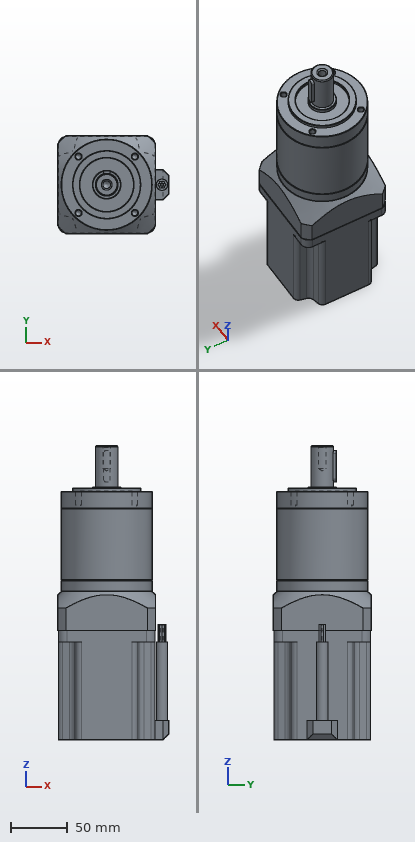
import cadquery as cq
import math

motor_width = 85.0
motor_height = 96.0
flange_thickness = 10.0
flange_corner_radius = 7.5
body_height = motor_height - flange_thickness

flat_half_width = 22.0
rounding_radius = 5.0
rounding_sweep = math.radians(76)
relief_root = 29.2
relief_root_radius = 6.0

outlet_reach = 54.5
outlet_width = 26.5
outlet_height = 17.0
outlet_chamfer = 5.0
cable_x = 48.5
cable_diameter = 10.0
cable_top = body_height
wire_diameter = 2.2
wire_pitch_radius = 2.25
wire_count = 6
wire_top = cable_top + 15.0
overlap = 1.0

adapter_width = 86.0
adapter_corner_radius = 56.0
adapter_cone_bottom = 115.5
barrel_radius = 40.0
barrel_bottom = 130.0
barrel_joints = (140.0, 203.0)
barrel_top = 218.0
joint_chamfer = 0.5

pilot_radius = 30.0
pilot_top = barrel_top + 3.0
pilot_chamfer = 0.5
recess_radius = 23.5
recess_depth = 2.5
collar_radius = 12.5
collar_top = pilot_top + 1.0
collar_chamfer = 0.5

shaft_radius = 10.0
shaft_top = 258.0
shaft_chamfer = 1.0
centre_hole_diameter = 6.8
centre_hole_depth = 20.0
centre_sink_diameter = 9.5
key_width = 6.0
key_length = 28.0
key_bottom = 226.0
key_outer_y = 12.5

mount_hole_diameter = 5.0
mount_hole_depth = 12.0
mount_sink_diameter = 6.2
mount_circle_diameter = 70.0
drill_point_angle = math.radians(118)


def motor_corner_relief():
    """Cutter for the (+X, +Y) corner: two rounded lips around a filleted notch."""
    side = motor_width / 2
    beyond = side + overlap

    def lip_point(angle):
        return (
            flat_half_width + rounding_radius * math.sin(angle),
            side - rounding_radius * (1 - math.cos(angle)),
        )

    def mirrored(point):
        return (point[1], point[0])

    start = lip_point(0)
    middle = lip_point(rounding_sweep / 2)
    end = lip_point(rounding_sweep)
    cutter = (
        cq.Workplane("XY")
        .moveTo(*start)
        .threePointArc(middle, end)
        .lineTo(relief_root, relief_root)
        .lineTo(*mirrored(end))
        .threePointArc(mirrored(middle), mirrored(start))
        .lineTo(beyond, flat_half_width)
        .lineTo(beyond, beyond)
        .lineTo(flat_half_width, beyond)
        .close()
        .extrude(body_height)
    )
    root_edge = cq.selectors.NearestToPointSelector((relief_root, relief_root, body_height / 2))
    return cutter.edges(root_edge).fillet(relief_root_radius)


def disc(radius, bottom, top):
    """Upright cylinder on the Z axis."""
    return cq.Workplane("XY", origin=(0, 0, bottom)).circle(radius).extrude(top - bottom)


def make_cable_outlet():
    """Chamfered block on the +X side with the cable rising from it."""
    inner_x = motor_width / 2 - overlap
    block = (
        cq.Workplane("XY", origin=(inner_x, 0, 0))
        .box(outlet_reach - inner_x, outlet_width, outlet_height, centered=(False, True, False))
        .edges(">X and (|Z or <Z)")
        .chamfer(outlet_chamfer)
    )
    cable = disc(cable_diameter / 2, outlet_height - overlap, cable_top)
    return block.union(cable.translate((cable_x, 0, 0)))


def make_wires():
    """One centre wire and a ring of wires leaving the end of the cable."""
    wire = disc(wire_diameter / 2, cable_top - overlap, wire_top)
    wires = wire
    for index in range(wire_count):
        outer_wire = wire.translate((wire_pitch_radius, 0, 0))
        wires = wires.union(outer_wire.rotate((0, 0, 0), (0, 0, 1), 360 / wire_count * index))
    return wires.translate((cable_x, 0, 0))


def make_motor():
    """Square motor with relieved body corners under a plain flange, plus its cable."""
    motor = (
        cq.Workplane("XY")
        .rect(motor_width, motor_width)
        .extrude(motor_height)
        .edges("|Z")
        .fillet(flange_corner_radius)
    )
    relief = motor_corner_relief()
    for quarter in range(4):
        motor = motor.cut(relief.rotate((0, 0, 0), (0, 0, 1), 90 * quarter))
    return motor.union(make_cable_outlet()).union(make_wires())


def make_adapter():
    """Square flange trimmed to a cylinder at its corners and to a cone on top."""
    envelope = (
        cq.Workplane("XZ")
        .moveTo(0, motor_height)
        .lineTo(adapter_corner_radius, motor_height)
        .lineTo(adapter_corner_radius, adapter_cone_bottom)
        .lineTo(barrel_radius, barrel_bottom)
        .lineTo(0, barrel_bottom)
        .close()
        .revolve(360, (0, 0), (0, 1))
    )
    square = (
        cq.Workplane("XY", origin=(0, 0, motor_height))
        .rect(adapter_width, adapter_width)
        .extrude(barrel_bottom - motor_height)
    )
    return square.intersect(envelope)


def make_barrel():
    """Stacked rings whose chamfered rims form a V groove at each joint."""
    levels = (barrel_bottom, *barrel_joints, barrel_top)
    barrel = None
    for bottom, top in zip(levels, levels[1:]):
        ring = disc(barrel_radius, bottom, top).faces("<Z or >Z").edges().chamfer(joint_chamfer)
        barrel = ring if barrel is None else barrel.union(ring)
    return barrel


def drilled_hole(diameter, sink_diameter, depth, top):
    """Cutter for a countersunk blind hole with a drill-point bottom, on the Z axis."""
    radius = diameter / 2
    sink_radius = sink_diameter / 2
    point_depth = radius / math.tan(drill_point_angle / 2)
    return (
        cq.Workplane("XZ")
        .moveTo(0, top)
        .lineTo(sink_radius, top)
        .lineTo(radius, top - (sink_radius - radius))
        .lineTo(radius, top - depth)
        .lineTo(0, top - depth - point_depth)
        .close()
        .revolve(360, (0, 0), (0, 1))
    )


def make_output_face():
    """Pilot ring with a recessed face and a low collar around the shaft."""
    floor = pilot_top - recess_depth
    ring = disc(pilot_radius, barrel_top, pilot_top).cut(disc(recess_radius, barrel_top, pilot_top))
    ring = ring.faces(">Z").edges().chamfer(pilot_chamfer)
    face = disc(recess_radius, barrel_top, floor)
    collar = disc(collar_radius, floor, collar_top).faces(">Z").edges().chamfer(collar_chamfer)
    return ring.union(face).union(collar)


def make_shaft():
    """Output shaft with its round-ended key and centre hole."""
    shaft = disc(shaft_radius, barrel_top, shaft_top).faces(">Z").edges().chamfer(shaft_chamfer)
    key = (
        cq.Workplane("XZ")
        .center(0, key_bottom + key_length / 2)
        .slot2D(key_length, key_width, 90)
        .extrude(-key_outer_y)
    )
    centre_hole = drilled_hole(centre_hole_diameter, centre_sink_diameter, centre_hole_depth, shaft_top)
    return shaft.union(key).cut(centre_hole)


def make_gearbox():
    """Adapter, barrel, output face and shaft with the four mounting holes."""
    gearbox = make_adapter().union(make_barrel()).union(make_output_face()).union(make_shaft())
    mount_hole = drilled_hole(mount_hole_diameter, mount_sink_diameter, mount_hole_depth, barrel_top)
    mount_hole = mount_hole.translate((mount_circle_diameter / 2, 0, 0))
    for quarter in range(4):
        gearbox = gearbox.cut(mount_hole.rotate((0, 0, 0), (0, 0, 1), 45 + 90 * quarter))
    return gearbox


motor = make_motor()
gearbox = make_gearbox()

result = cq.Compound.makeCompound([motor.val(), gearbox.val()])